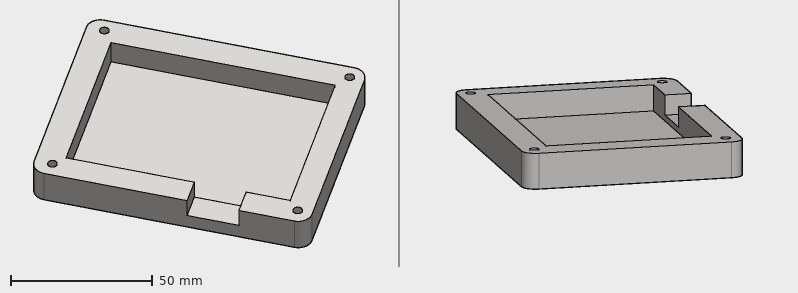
import cadquery as cq

length = 102.0
width = 80.5
height = 13.0
corner_radius = 5.1

pocket_left = 10.5
pocket_front = 9.7
pocket_length = 82.2
pocket_width = 60.5
pocket_depth = 9.5

notch_left = 57.5
notch_length = 19.0
notch_depth = 7.3

hole_diameter = 3.4
hole_left = 6.6
hole_front = 5.5
hole_spacing_x = 89.9
hole_spacing_y = 69.9


def top_cut(left, front, cut_length, cut_width, depth):
    """Box that removes material from the top face down to a depth."""
    return cq.Workplane("XY").box(cut_length, cut_width, depth, centered=False).translate(
        (left, front, height - depth)
    )


plate = cq.Workplane("XY").box(length, width, height, centered=False)
plate = plate.edges("|Z").fillet(corner_radius)

pocket = top_cut(pocket_left, pocket_front, pocket_length, pocket_width, pocket_depth)
notch = top_cut(notch_left, 0, notch_length, pocket_front, notch_depth)

hole_centers = [
    (x, y)
    for x in (hole_left, hole_left + hole_spacing_x)
    for y in (hole_front, hole_front + hole_spacing_y)
]
holes = cq.Workplane("XY").pushPoints(hole_centers).circle(hole_diameter / 2).extrude(height)

result = plate.cut(pocket).cut(notch).cut(holes)